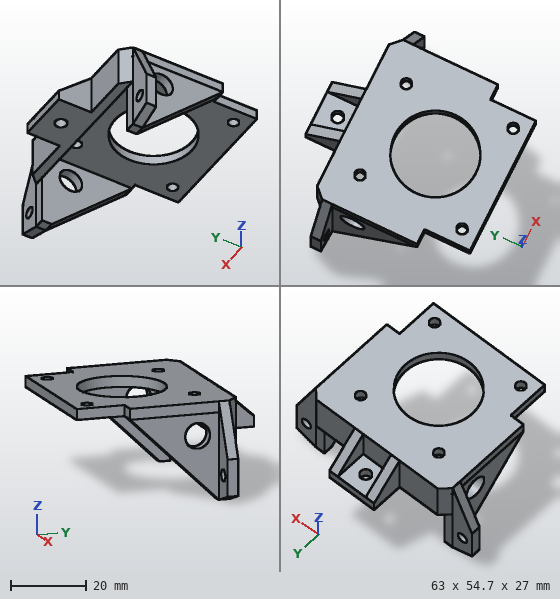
import cadquery as cq

overall_width = 63.0
overall_height = 27.0
sheet = 3.0

plate_width = 49.15
plate_rear = 24.45
plate_front = -20.05
tongue_width = 40.0
shoulder_y = -6.55
corner = 2.85
bore_diameter = 24.0
screw_diameter = 3.0
screw_y = 15.5
rear_screw_x = 14.05
front_screw_x = 15.5

rear_depth = 12.05
hook_width = 16.05
hook_length = 10.15
hook_hole_diameter = 3.4
hook_hole_offset = 4.55

side_rear = plate_rear - corner
side_hole_diameter = 7.0
side_hole_y = 12.6
side_hole_z = -9.0

ear_shoulder_z = -14.4
ear_lower_z = -24.65
ear_hole_diameter = 3.2
ear_hole_x = 28.05
ear_hole_z = -19.5

half_plate = plate_width / 2
half_tongue = tongue_width / 2
half_overall = overall_width / 2
ear_front = side_rear - sheet
hook_end = plate_rear + hook_length


def make_plate():
    """Top plate with a narrow front, chamfered rear corners, bore and screw holes."""
    outline = [
        (-half_tongue, plate_front),
        (half_tongue, plate_front),
        (half_tongue, shoulder_y),
        (half_plate, shoulder_y),
        (half_plate, side_rear),
        (half_plate - corner, plate_rear),
        (corner - half_plate, plate_rear),
        (-half_plate, side_rear),
        (-half_plate, shoulder_y),
        (-half_tongue, shoulder_y),
    ]
    screws = [
        (side * x, y)
        for side in (-1, 1)
        for x, y in ((rear_screw_x, screw_y), (front_screw_x, -screw_y))
    ]
    plate = cq.Workplane("XY").polyline(outline).close().extrude(-sheet)
    bore = cq.Workplane("XY").circle(bore_diameter / 2).extrude(-sheet)
    screw_holes = cq.Workplane("XY").pushPoints(screws).circle(screw_diameter / 2).extrude(-sheet)
    return plate.cut(bore).cut(screw_holes)


def make_rear_wall():
    """Wall under the rear edge of the plate, continuing its corner chamfers."""
    outline = [
        (-half_plate, side_rear),
        (half_plate, side_rear),
        (half_plate - corner, plate_rear),
        (corner - half_plate, plate_rear),
    ]
    return cq.Workplane("XY").polyline(outline).close().extrude(-rear_depth)


def make_hook():
    """Floor behind the rear wall, held between two sloping cheeks, with one hole."""
    floor_top = sheet - rear_depth
    cheek_outline = [
        (plate_rear, 0),
        (hook_end, floor_top),
        (hook_end, -rear_depth),
        (plate_rear, -rear_depth),
    ]
    cheeks = (
        cq.Workplane("YZ").polyline(cheek_outline).close()
        .extrude(hook_width / 2, both=True)
    )
    channel = cq.Workplane("XY").box(
        hook_width - 2 * sheet, hook_length, -floor_top, centered=(True, False, False)
    ).translate((0, plate_rear, floor_top))
    hole = (
        cq.Workplane("XY").center(0, plate_rear + hook_hole_offset)
        .circle(hook_hole_diameter / 2).extrude(-rear_depth)
    )
    return cheeks.cut(channel).cut(hole)


def make_base():
    """Plate, rear wall and hook in one piece."""
    return make_plate().union(make_rear_wall()).union(make_hook())


def make_side_wall(side):
    """Triangular wall under one edge of the plate; side is -1 (left) or 1 (right)."""
    outline = [
        (side_rear, -sheet),
        (shoulder_y, -sheet),
        (ear_front, -overall_height),
        (side_rear, -overall_height),
    ]
    outer_face = cq.Workplane("YZ").workplane(offset=side * half_plate)
    body = outer_face.polyline(outline).close().extrude(-side * sheet)
    hole = (
        outer_face.center(side_hole_y, side_hole_z)
        .circle(side_hole_diameter / 2).extrude(-side * sheet)
    )
    return body.cut(hole)


def make_ear(side):
    """Mounting ear standing out from one side wall; side is -1 (left) or 1 (right)."""
    outline = [
        (side * half_plate, 0),
        (side * half_overall, ear_shoulder_z),
        (side * half_overall, ear_lower_z),
        (side * half_plate, -overall_height),
    ]
    front_face = cq.Workplane("XZ", origin=(0, ear_front, 0))
    body = front_face.polyline(outline).close().extrude(-sheet)
    hole = (
        front_face.center(side * ear_hole_x, ear_hole_z)
        .circle(ear_hole_diameter / 2).extrude(-sheet)
    )
    return body.cut(hole)


base = make_base()
side_walls = [make_side_wall(side) for side in (-1, 1)]
ears = [make_ear(side) for side in (-1, 1)]

result = cq.Compound.makeCompound([
    *base.solids().vals(),
    *[side_wall.val() for side_wall in side_walls],
    *[ear.val() for ear in ears],
])